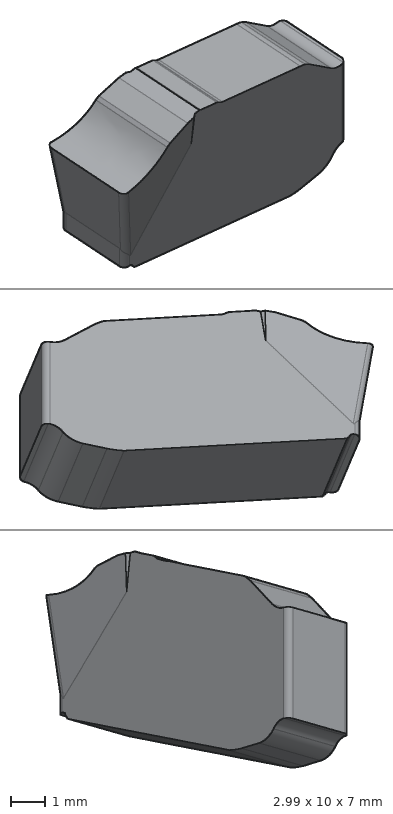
import cadquery as cq

length = 10.0
height = 7.0
body_width = 2.5
tip_width = 3.03
half_body = body_width / 2
corner_radius = 0.2

tip_z = 6.42
land_y = 0.33
land_top_z = 3.55
land_bottom_z = 2.77

former_rear_y = 2.03
former_rear_z = 6.78

rear_bottom_z = 0.52
rear_top_z = 3.9

root_offset = 2.62
root_rear_y = 3.24
flare_slope = (tip_width - body_width) / 2 / (tip_z - root_offset)

selection_margin = 0.01

flare_front_y = -1.0
flare_top_z = 7.5
flare_relief_end_z = 2.8
shoulder_inner_y = 3.46
shoulder_outer_y = 3.28


def side_profile(width, relief_end_z):
    """Side outline in YZ, extruded symmetrically about X = 0.

    The front relief face slopes from the tip down to relief_end_z.
    """
    relief_slope = land_y / (tip_z - land_top_z)
    relief_end_y = relief_slope * (tip_z - relief_end_z)
    return (
        cq.Workplane("YZ")
        .moveTo(0, tip_z)
        .lineTo(relief_end_y, relief_end_z)
        .lineTo(relief_end_y, land_bottom_z)
        .lineTo(0.54, land_bottom_z)
        .threePointArc((0.62, 2.74), (0.68, 2.65))
        .lineTo(0.76, 2.53)
        .lineTo(7.55, 0.06)
        .threePointArc((7.8, 0.02), (8.07, 0))
        .lineTo(8.8, 0)
        .threePointArc((9.13, 0.08), (9.4, 0.3))
        .threePointArc((9.6, 0.47), (9.85, rear_bottom_z))
        .lineTo(length, rear_bottom_z)
        .lineTo(length, rear_top_z)
        .lineTo(9.89, rear_top_z)
        .threePointArc((9.58, 3.95), (9.33, 4.12))
        .lineTo(8.42, 5.03)
        .lineTo(8.21, 5.2)
        .threePointArc((8.11, 5.25), (8.0, 5.29))
        .lineTo(4.6, 6.53)
        .threePointArc((4.52, 6.57), (4.45, 6.63))
        .lineTo(4.36, 6.7)
        .lineTo(3.65, 6.96)
        .lineTo(3.59, height)
        .lineTo(2.98, height)
        .lineTo(2.16, 6.85)
        .lineTo(former_rear_y, former_rear_z)
        .close()
        .extrude(width / 2, both=True)
    )


def chip_former():
    """Tool that hollows the straight slope between the crown and the tip."""
    return (
        cq.Workplane("YZ", origin=(-tip_width, 0, 0))
        .moveTo(former_rear_y, former_rear_z)
        .spline([(1.52, 6.48), (0.86, 6.34), (0, tip_z)], includeCurrent=True)
        .lineTo(0, flare_top_z)
        .lineTo(former_rear_y, flare_top_z)
        .close()
        .extrude(2 * tip_width)
    )


def flank_x(y, z):
    """Half-width of the flared flank at a point of the side outline."""
    return half_body + flare_slope * (z - y - root_offset)


def planar_face(*points):
    return cq.Face.makeFromWires(cq.Wire.makePolygon(points, close=True))


def half_flare():
    """Wedge-sided +X half of the block that widens the part at the cutting tip."""
    root_line = [
        (root_rear_y, root_rear_y + root_offset),
        (flare_front_y, flare_front_y + root_offset),
    ]
    root_rear, root_front = [cq.Vector(half_body, y, z) for y, z in root_line]
    mid_rear, mid_front = [cq.Vector(0, y, z) for y, z in root_line]
    mid_top_front = cq.Vector(0, flare_front_y, flare_top_z)
    mid_top_rear = cq.Vector(0, shoulder_inner_y, flare_top_z)
    inner_rear = cq.Vector(half_body, shoulder_inner_y, flare_top_z)
    outer_front = cq.Vector(flank_x(flare_front_y, flare_top_z), flare_front_y, flare_top_z)
    outer_rear = cq.Vector(flank_x(shoulder_outer_y, flare_top_z), shoulder_outer_y, flare_top_z)
    faces = [
        planar_face(mid_rear, mid_front, mid_top_front, mid_top_rear),
        planar_face(mid_rear, mid_front, root_front, root_rear),
        planar_face(root_rear, root_front, outer_front, outer_rear),
        planar_face(mid_rear, root_rear, inner_rear, mid_top_rear),
        planar_face(root_rear, inner_rear, outer_rear),
        planar_face(mid_front, root_front, outer_front, mid_top_front),
        planar_face(mid_top_front, outer_front, outer_rear, inner_rear, mid_top_rear),
    ]
    return cq.Workplane(cq.Solid.makeSolid(cq.Shell.makeShell(faces)))


body = side_profile(body_width, land_top_z)
body = body.faces(">Y").edges("|Z").fillet(corner_radius)
front_corners = cq.selectors.BoxSelector(
    (-tip_width, -selection_margin, land_bottom_z),
    (tip_width, land_y + selection_margin, tip_z),
)
body = body.edges(front_corners).edges("not |X").edges("not |Y").fillet(corner_radius)

flare = half_flare().intersect(side_profile(2 * tip_width, flare_relief_end_z))
flare = flare.edges(front_corners).edges(">X").fillet(corner_radius)
result = body.union(flare).union(flare.mirror("YZ")).cut(chip_former())